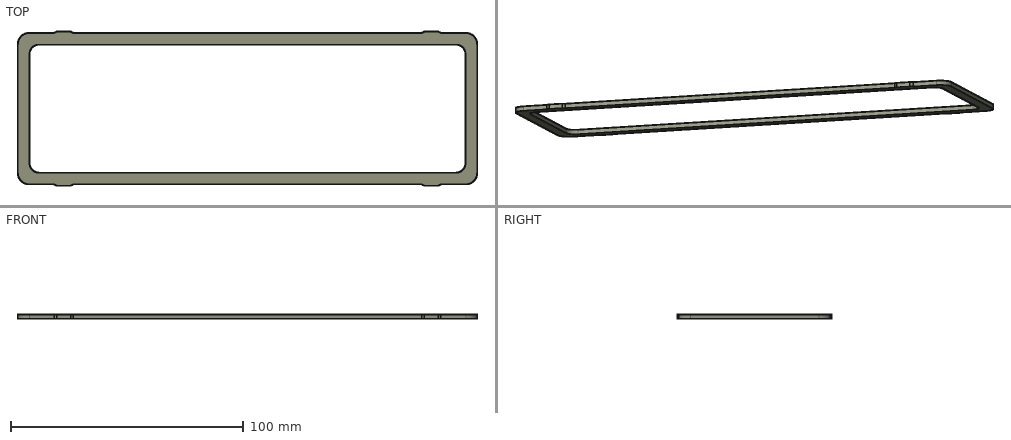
import cadquery as cq

length = 197.8
overall_width = 66.5
thickness = 2.0

tab_height = 0.5
frame_width = overall_width - 2 * tab_height
rail = 5.1
outer_radius = 5.0
inner_radius = 4.0

tab_end_distance = 19.8
tab_base = 8.3
tab_top = 6.0
tab_center_x = length / 2 - tab_end_distance


def rounded_plate(size_x, size_y, radius):
    """Flat plate centred on the origin with rounded corners."""
    return (
        cq.Workplane("XY")
        .rect(size_x, size_y)
        .extrude(thickness)
        .edges("|Z")
        .fillet(radius)
    )


def edge_tab(center_x, side):
    """Trapezoidal tab on the +Y (side=1) or -Y (side=-1) edge, rooted in the rail."""
    root_y = side * (frame_width - rail) / 2
    edge_y = side * frame_width / 2
    tip_y = side * overall_width / 2
    return (
        cq.Workplane("XY")
        .moveTo(center_x - tab_base / 2, root_y)
        .lineTo(center_x - tab_base / 2, edge_y)
        .lineTo(center_x - tab_top / 2, tip_y)
        .lineTo(center_x + tab_top / 2, tip_y)
        .lineTo(center_x + tab_base / 2, edge_y)
        .lineTo(center_x + tab_base / 2, root_y)
        .close()
        .extrude(thickness)
    )


outer_plate = rounded_plate(length, frame_width, outer_radius)
opening = rounded_plate(length - 2 * rail, frame_width - 2 * rail, inner_radius)
result = outer_plate.cut(opening)

for center_x in (-tab_center_x, tab_center_x):
    for side in (-1, 1):
        result = result.union(edge_tab(center_x, side))

result = result.clean()